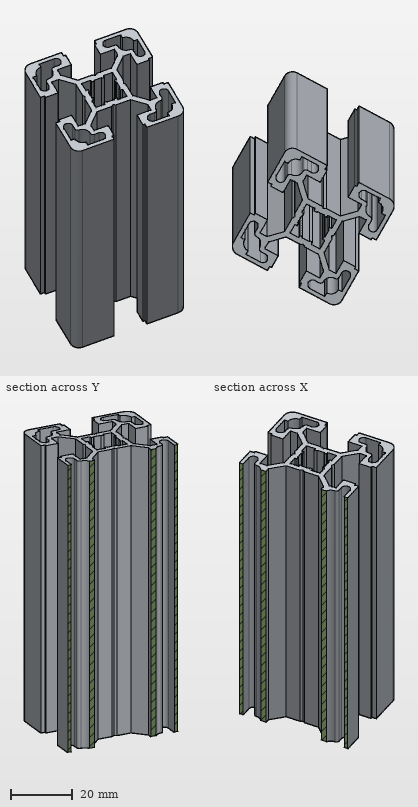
import cadquery as cq
import math

side = 40.0
length = 100.0
corner_radius = 3.0
half_side = side / 2

mouth_width = 11.7
mouth_depth = 1.5
throat_width = 10.3
lip_thickness = 6.0
chamber_width = 20.3
core_width = 14.6
web_thickness = 1.9
notch_width = 1.7
notch_depth = 0.5

bore_width = 11.0
pad_height = 0.5
ridge_height = 0.3
pad_width = 4.6
ridge_gap = 2.6

hole_diameter = 5.5
hole_inset = 5.5
arm_inset = 1.4
arm_width = 3.1
arm_tip_inset = 12.4
neck_radius = 1.0

OVERLAP = 1.0


def four_around(body):
    """Join four copies of a body, turned by quarter turns about the Z axis."""
    group = body
    for quarter in range(1, 4):
        group = group.union(body.rotate((0, 0, 0), (0, 0, 1), 90 * quarter))
    return group


def t_slot():
    """Space of the T-slot in the +X side."""
    mouth = mouth_width / 2
    throat = throat_width / 2
    chamber = chamber_width / 2
    floor = core_width / 2
    flank_offset = web_thickness / math.sqrt(2)
    lip_back = half_side - lip_thickness
    step = half_side - mouth_depth
    outside = half_side + OVERLAP
    upper_edge = [
        (floor, notch_width / 2),
        (floor, floor - flank_offset),
        (chamber + flank_offset, chamber),
        (lip_back, chamber),
        (lip_back, throat),
        (step, throat),
        (step, mouth),
        (outside, mouth),
    ]
    lower_edge = [(x, -y) for x, y in reversed(upper_edge)]
    notch_tip = (floor - notch_depth, 0)
    return cq.Workplane("XY").polyline([notch_tip] + upper_edge + lower_edge).close().extrude(length)


def bore_pad():
    """Pad with two ridges, standing on the +X wall of the bore."""
    wall = bore_width / 2
    pad_face = wall - pad_height
    ridge_top = pad_face - ridge_height
    pad_edge = pad_width / 2
    ridge_edge = ridge_gap / 2
    root = wall + OVERLAP / 2
    outline = [
        (root, pad_edge),
        (ridge_top, pad_edge),
        (ridge_top, ridge_edge),
        (pad_face, ridge_edge),
        (pad_face, -ridge_edge),
        (ridge_top, -ridge_edge),
        (ridge_top, -pad_edge),
        (root, -pad_edge),
    ]
    return cq.Workplane("XY").polyline(outline).close().extrude(length)


def corner_arm():
    """Arm running from the corner hole in the -X direction, with a round tip."""
    start = half_side - hole_inset
    outer_wall = half_side - arm_inset
    inner_wall = outer_wall - arm_width
    tip = half_side - arm_tip_inset
    tip_start = tip + arm_width / 2
    return (
        cq.Workplane("XY")
        .moveTo(start, outer_wall)
        .lineTo(tip_start, outer_wall)
        .threePointArc((tip, (outer_wall + inner_wall) / 2), (tip_start, inner_wall))
        .lineTo(start, inner_wall)
        .close()
        .extrude(length)
    )


def corner_hollow():
    """Space of the hollow in the +X +Y corner."""
    center = half_side - hole_inset
    hole = cq.Workplane("XY").center(center, center).circle(hole_diameter / 2).extrude(length)
    arm = corner_arm()
    mirrored_arm = arm.mirror("YZ").rotate((0, 0, 0), (0, 0, 1), -90)
    hollow = hole.union(arm).union(mirrored_arm)

    neck_across = half_side - arm_inset - arm_width
    rise = neck_across - center
    neck_along = center - math.sqrt((hole_diameter / 2) ** 2 - rise**2)
    for x, y in ((neck_along, neck_across), (neck_across, neck_along)):
        neck = cq.selectors.NearestToPointSelector((x, y, length / 2))
        hollow = hollow.edges("|Z").edges(neck).fillet(neck_radius)
    return hollow


bar = cq.Workplane("XY").rect(side, side).extrude(length).edges("|Z").fillet(corner_radius)
bore = cq.Workplane("XY").rect(bore_width, bore_width).extrude(length)

result = (
    bar.cut(four_around(t_slot()))
    .cut(bore)
    .union(four_around(bore_pad()))
    .cut(four_around(corner_hollow()))
)